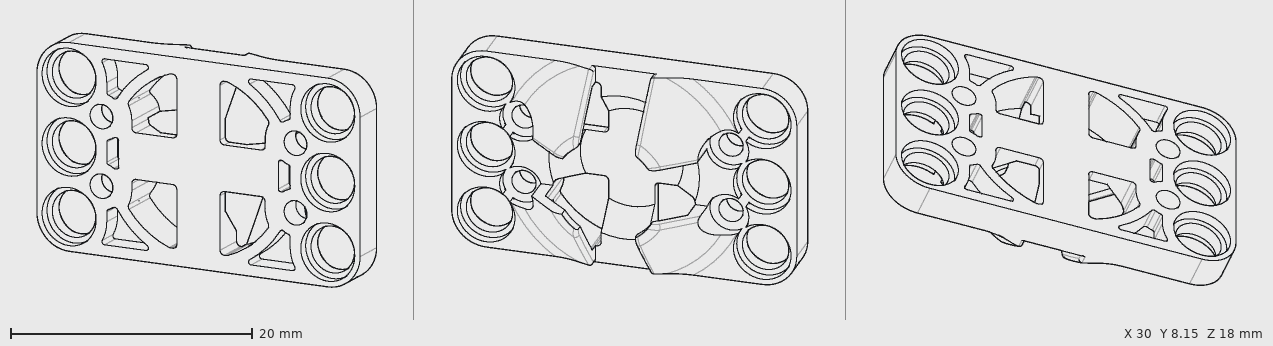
import cadquery as cq
import math

plate_length = 30
plate_height = 18
plate_thickness = 3.05
corner_radius = 3
total_depth = 8.15

hole_pitch = 6
hole_diameter = 4.02
counterbore_diameter = 5.0
counterbore_depth = 0.9
screw_diameter = 2.1
screw_head_radius = 1.83
screw_head_depth = 0.9
hole_x = plate_length / 2 - corner_radius
screw_x = hole_x - hole_pitch / 2
screw_z = hole_pitch / 2

rib = 1.0
hole_wall_radius = counterbore_diameter / 2 + rib
screw_wall_radius = screw_diameter / 2 + rib
screw_head_wall_radius = screw_head_radius + rib

window_radius = 7.95
window_top_z = plate_height / 2 - 1.5
window_corner_radius = 0.4
cross_half_width = 2.0
crossbar_thickness = 1.0
recess_floor_radius = 4.47

pocket_depth = 2.0
pocket_corner_radius = 0.25
slot_corner_radius = 0.2
slot_inner_x = 7.4
slot_half_height = 1.35
pocket_outer_x = hole_x - hole_wall_radius

slope = math.radians(45)
channel_half_width = 2.5
cone_reach = 13.25
inner_cone_reach = 11.85
ear_base_fillet = 1.5
ear_top_fillet = 1.2
ear_edge_fillet = 0.3

mouth_radius = 4.55

tolerance = 0.003


def box(x_min, x_max, z_min, z_max, y_min, y_max):
    size = (x_max - x_min, y_max - y_min, z_max - z_min)
    return cq.Workplane("XY").box(*size, centered=False).translate((x_min, y_min, z_min))


def cylinder(x, z, radius, y_min, y_max):
    return cq.Workplane("XZ", origin=(x, y_min, z)).circle(radius).extrude(y_min - y_max)


def revolve_about_y(profile):
    return profile.close().revolve(360, (0, 0, 0), (0, 1, 0))


def in_four_quarters(shape):
    pair = shape.union(shape.mirror("YZ"))
    return pair.union(pair.mirror("XY"))


def make_plate():
    blank = cq.Workplane("XZ").rect(plate_length, plate_height).extrude(-plate_thickness)
    return blank.edges("|Y").fillet(corner_radius)


def outer_cone():
    """Solid cone on the plate, blended into it at the base and rounded at the top."""
    base_radius = cone_reach - plate_thickness
    top_radius = cone_reach - total_depth
    base_setback = ear_base_fillet * math.tan(slope / 2)
    top_setback = ear_top_fillet * math.tan(slope / 2)
    base_run = base_setback * math.cos(slope)
    top_run = top_setback * math.cos(slope)
    half_sine = math.sin(slope / 2)
    half_rise = 1 - math.cos(slope / 2)
    base_start = base_radius + base_setback
    top_end = top_radius - top_setback
    base_middle = (base_start - ear_base_fillet * half_sine, plate_thickness + ear_base_fillet * half_rise)
    top_middle = (top_end + ear_top_fillet * half_sine, total_depth - ear_top_fillet * half_rise)
    return revolve_about_y(
        cq.Workplane("XY")
        .moveTo(0, plate_thickness)
        .lineTo(base_start, plate_thickness)
        .threePointArc(base_middle, (base_radius - base_run, plate_thickness + base_run))
        .lineTo(top_radius + top_run, total_depth - top_run)
        .threePointArc(top_middle, (top_end, total_depth))
        .lineTo(0, total_depth)
    )


def make_ear(round_x_side=True, round_z_side=True, round_scallop=True):
    """Ear of the +X +Z quarter, still solid inside, rounded along its channel sides."""
    edge = channel_half_width
    quarter = box(edge, plate_length, edge, plate_height / 2, plate_thickness, total_depth)
    ear = outer_cone().intersect(quarter)
    ear = ear.cut(cylinder(screw_x, screw_z, screw_head_radius, 0, total_depth))

    def is_rounded(side_edge):
        bounds = side_edge.BoundingBox()
        on_plate = bounds.ymax < plate_thickness + tolerance
        in_channel_corner = max(bounds.xmax, bounds.zmax) < edge + tolerance
        on_scallop = bounds.ymin < plate_thickness + tolerance and bounds.zmax < edge + tolerance
        return not (on_plate or in_channel_corner or (on_scallop and not round_scallop))

    sides = []
    if round_x_side:
        sides += ear.faces("<X").edges().vals()
    if round_z_side:
        sides += ear.faces("<Z").edges().vals()
    return ear.newObject([side for side in sides if is_rounded(side)]).fillet(ear_edge_fillet)


def make_crossbar_recess():
    """Conical recess in the rear face that thins the crossbars."""
    rim_radius = recess_floor_radius + (plate_thickness - crossbar_thickness) / math.tan(slope)
    return revolve_about_y(
        cq.Workplane("XY")
        .moveTo(0, crossbar_thickness)
        .lineTo(recess_floor_radius, crossbar_thickness)
        .lineTo(rim_radius, plate_thickness)
        .lineTo(0, plate_thickness)
    )


def inner_cone():
    """Space under the inner cone, ending in a straight round mouth."""
    mouth_start_y = inner_cone_reach - mouth_radius
    return revolve_about_y(
        cq.Workplane("XY")
        .lineTo(window_radius, 0)
        .lineTo(window_radius, inner_cone_reach - window_radius)
        .lineTo(mouth_radius, mouth_start_y)
        .lineTo(mouth_radius, total_depth)
        .lineTo(0, total_depth)
    )


def make_window():
    """Quarter disc in the +X +Z quarter, notched around the screw head and hollowing the ear."""
    far = window_radius
    window = cylinder(0, 0, window_radius, 0, total_depth)
    window = window.intersect(box(cross_half_width, far, cross_half_width, window_top_z, 0, total_depth))
    window = window.cut(cylinder(screw_x, screw_z, screw_head_wall_radius, 0, total_depth))
    window = window.cut(box(screw_x - screw_head_wall_radius, far, 0, screw_z, 0, total_depth))
    window = window.edges("|Y").fillet(window_corner_radius)
    return window.intersect(inner_cone())


def make_corner_pocket():
    """Three-sided pocket of the +X +Z quarter, a rib away from its neighbours."""
    pocket = box(0, hole_x, screw_z, plate_height / 2 - rib, 0, pocket_depth)
    pocket = pocket.cut(cylinder(0, 0, window_radius + rib, 0, pocket_depth))
    pocket = pocket.cut(cylinder(hole_x, hole_pitch, hole_wall_radius, 0, pocket_depth))
    pocket = pocket.cut(box(pocket_outer_x, hole_x, 0, hole_pitch, 0, pocket_depth))
    pocket = pocket.cut(cylinder(screw_x, screw_z, screw_wall_radius, 0, pocket_depth))
    return pocket.solids("<X").edges("|Y").fillet(pocket_corner_radius)


def make_side_slot():
    """Small pocket between the two screw holes of the +X side."""
    slot = box(slot_inner_x, pocket_outer_x, -slot_half_height, slot_half_height, 0, pocket_depth)
    for z in (-screw_z, screw_z):
        slot = slot.cut(cylinder(screw_x, z, screw_wall_radius, 0, pocket_depth))
    return slot.edges("|Y").fillet(slot_corner_radius)


def make_big_hole(x, z):
    radius = counterbore_diameter / 2
    hole = cylinder(x, z, hole_diameter / 2, 0, plate_thickness)
    hole = hole.union(cylinder(x, z, radius, 0, counterbore_depth))
    return hole.union(cylinder(x, z, radius, plate_thickness - counterbore_depth, plate_thickness))


def make_screw_hole(x, z):
    head_seat_y = plate_thickness - screw_head_depth
    hole = cylinder(x, z, screw_diameter / 2, 0, plate_thickness)
    return hole.union(cylinder(x, z, screw_head_radius, head_seat_y, plate_thickness))


result = (
    make_plate()
    .union(make_ear())
    .union(make_ear().mirror("YZ"))
    .union(make_ear(round_z_side=False).mirror("XY"))
    .union(make_ear(round_scallop=False).mirror("XY").mirror("YZ"))
)

slot = make_side_slot()
result = (
    result.cut(make_crossbar_recess())
    .cut(in_four_quarters(make_window()))
    .cut(in_four_quarters(make_corner_pocket()))
    .cut(slot)
    .cut(slot.mirror("YZ"))
)

for x in (-hole_x, hole_x):
    for z in (-hole_pitch, 0, hole_pitch):
        result = result.cut(make_big_hole(x, z))

for x in (-screw_x, screw_x):
    for z in (-screw_z, screw_z):
        result = result.cut(make_screw_hole(x, z))